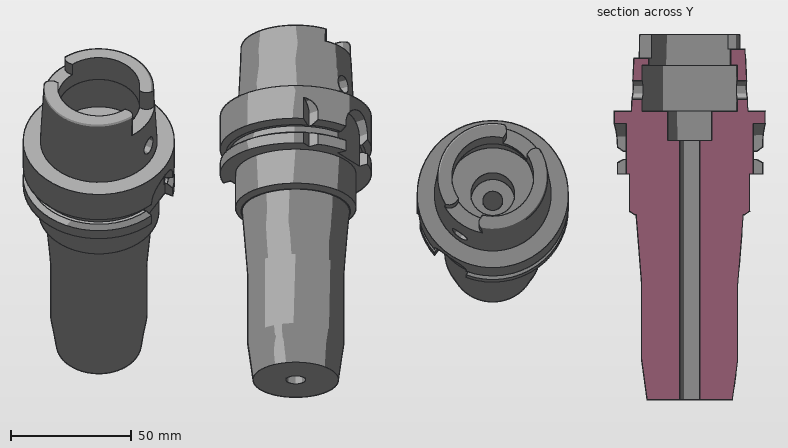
import cadquery as cq
import math

total_height = 152.0
shank_height = 31.9
flange_thickness = 26.1
flange_top = total_height - shank_height
flange_bottom = flange_top - flange_thickness

flange_radius = 31.5
groove_radius = 27.7
groove_lip_radius = 29.0
groove_upper_bevel_depth = 14.9
groove_top_depth = 16.7
groove_bottom_depth = 20.0
groove_lower_bevel_depth = 21.5

neck_radius = 25.1
neck_bevel_top = 78.5
neck_bottom = 76.9
neck_bottom_radius = 22.8
taper_top_radius = 22.3
barrel_radius = 20.0
barrel_top = 48.2
barrel_bottom = 16.7
nose_radius = 17.8

shank_base_radius = 24.3
shank_tip_radius = 22.8
shank_tip_fillet = 1.0
mouth_radius = 17.0
mouth_depth = 12.9
cavity_radius = 19.8
cavity_floor = flange_top
socket_radius = 9.1
socket_depth = 12.2
coolant_radius = 4.1

access_radius = 3.8
access_height = flange_top + 8.8

rim_slot_width = 12.2
rim_slot_depths = {-1: 6.1, 1: 9.9}
rim_slot_fillet = 3.6
rim_flare_radius = 23.1

keyway_widths = {-1: 16.1, 1: 18.1}
keyway_floor = 26.5
keyway_crown_depth = 5.2

notch_corner = 19.9
notch_arch_radius = 6.8
notch_arch_depth = 11.7


def revolve_profile(points):
    """Revolve an (r, z) outline around the Z axis."""
    return cq.Workplane("XZ").polyline(points).close().revolve(360, (0, 0, 0), (0, 1, 0))


def make_shank():
    shank = revolve_profile([
        (0, flange_top),
        (shank_base_radius, flange_top),
        (shank_tip_radius, total_height),
        (0, total_height),
    ])
    return shank.faces(">Z").edges().fillet(shank_tip_fillet)


def make_body():
    return revolve_profile([
        (0, 0),
        (nose_radius, 0),
        (barrel_radius, barrel_bottom),
        (barrel_radius, barrel_top),
        (taper_top_radius, neck_bottom),
        (neck_bottom_radius, neck_bottom),
        (neck_radius, neck_bevel_top),
        (neck_radius, flange_bottom),
        (flange_radius, flange_bottom),
        (flange_radius, flange_top - groove_lower_bevel_depth),
        (groove_lip_radius, flange_top - groove_bottom_depth),
        (groove_radius, flange_top - groove_bottom_depth),
        (groove_radius, flange_top - groove_top_depth),
        (groove_lip_radius, flange_top - groove_top_depth),
        (flange_radius, flange_top - groove_upper_bevel_depth),
        (flange_radius, flange_top),
        (0, flange_top),
    ])


def make_bore():
    mouth_bottom = total_height - mouth_depth
    socket_floor = cavity_floor - socket_depth
    return revolve_profile([
        (0, 0),
        (coolant_radius, 0),
        (coolant_radius, socket_floor),
        (socket_radius, socket_floor),
        (socket_radius, cavity_floor),
        (cavity_radius, cavity_floor),
        (cavity_radius, mouth_bottom),
        (mouth_radius, mouth_bottom),
        (mouth_radius, total_height),
        (0, total_height),
    ])


def make_rim_slot(side, depth):
    """Radial slot whose side walls flare outward at the outside of the shank."""
    half_width = rim_slot_width / 2
    mouth_half_width = half_width + rim_slot_fillet
    flare_end = math.sqrt(rim_flare_radius**2 - mouth_half_width**2)
    flare_start = flare_end - rim_slot_fillet
    arc_offset = rim_slot_fillet * math.sqrt(0.5)
    arc_x = flare_start + arc_offset
    arc_y = mouth_half_width - arc_offset
    return (
        cq.Workplane("XY", origin=(0, 0, total_height - depth))
        .moveTo(0, -half_width)
        .lineTo(side * flare_start, -half_width)
        .threePointArc((side * arc_x, -arc_y), (side * flare_end, -mouth_half_width))
        .lineTo(side * flange_radius, -mouth_half_width)
        .lineTo(side * flange_radius, mouth_half_width)
        .lineTo(side * flare_end, mouth_half_width)
        .threePointArc((side * arc_x, arc_y), (side * flare_start, half_width))
        .lineTo(0, half_width)
        .close()
        .extrude(depth)
    )


def make_arched_cutter(side, floor, center_y, radius, arch_height):
    """Round-topped slot open at the flange underside, cut inward along X to the floor."""
    return (
        cq.Workplane("YZ", origin=(side * floor, 0, 0))
        .moveTo(center_y - radius, flange_bottom)
        .lineTo(center_y - radius, arch_height)
        .threePointArc((center_y, arch_height + radius), (center_y + radius, arch_height))
        .lineTo(center_y + radius, flange_bottom)
        .close()
        .extrude(side * flange_radius)
    )


result = make_body().union(make_shank()).cut(make_bore())

access_hole = (
    cq.Workplane("YZ", origin=(0, 0, access_height))
    .circle(access_radius)
    .extrude(flange_radius, both=True)
)
result = result.cut(access_hole)

for side, depth in rim_slot_depths.items():
    result = result.cut(make_rim_slot(side, depth))

for side, width in keyway_widths.items():
    arch_radius = width / 2
    arch_height = flange_top - keyway_crown_depth - arch_radius
    result = result.cut(make_arched_cutter(side, keyway_floor, 0, arch_radius, arch_height))

notch = make_arched_cutter(
    -1,
    notch_corner,
    notch_corner + notch_arch_radius,
    notch_arch_radius,
    flange_top - notch_arch_depth,
)
result = result.cut(notch)